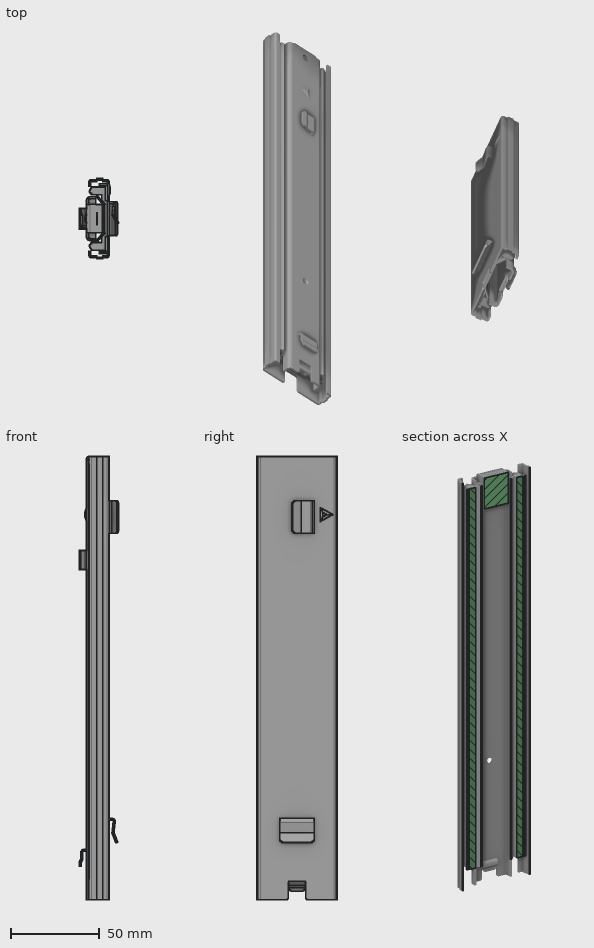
import cadquery as cq
import math

overall_depth = 22.21
overall_width = 45.46
overall_length = 250.0

outer_half_depth = 5.65
outer_half_width = 22.0
outer_sheet = 1.1
outer_bend = 1.4
outer_lip_end = 18.35
track_low_x = -1.3
track_high_x = 2.1
track_rise = overall_width / 2 - outer_half_width
outer_inner_x = outer_half_depth - outer_sheet

middle_bottom = 12.0
middle_top = 245.6
middle_half_width = 17.9
middle_tip_x = -5.6
middle_tip_y = 15.3
middle_shoulder_x = -4.1
middle_inner_y = 13.4
middle_leg_left = 1.5
middle_leg_right = 3.6
middle_leg_end = 8.2
middle_step_y = 10.2
middle_web_left = 3.3
relief_depth_y = 14.2
relief_length = 14.8
relief_bottom = middle_top - relief_length

inner_front_x = -7.1
inner_sheet = 1.2
inner_back_x = inner_front_x + inner_sheet
inner_half_width = 12.4
inner_bend = 2.4
inner_flange_end = -1.8
inner_top = 248.0
mount_hole_dia = 4.4
mount_hole_z = 242.7
countersink_dia = 4.4
countersink_hole_dia = 3.0
countersink_z = 72.5

notch_width = 9.8
notch_top = 10.6
notch_corner = 1.0
notch_mouth_chamfer = 0.8

tab_width = 9.4
tab_setback = 2.6
tab_return = 1.0
tab_return_start = 0.5
tab_return_end = 0.7
tab_end = 4.8

strip_left = 0.2
strip_inner_y = 18.4
strip_outer_y = 19.7

cage_thickness = 0.8
cage_web_y = 8.0
cage_tip_x = -0.9
cage_tip_y = 12.9

stop_left = inner_back_x
stop_right = 2.1
stop_half_width = 8.0
stop_shoulder_right = inner_flange_end
stop_shoulder_y = inner_half_width - inner_sheet
stop_bottom = relief_bottom
stop_front_round = 1.8
stop_slit_x = -1.2
stop_slit_length = 6.8
stop_slit_width = 0.3
stop_slit_depth = 1.0

hook_sheet = 1.1
hook_bend = 2.0
hook_reach = overall_depth / 2
front_hook_width = 11.7
front_hook_length = 9.6
front_hook_height = hook_reach + inner_front_x
front_hook_flare = 0.9
front_hook_rise = front_hook_height - front_hook_flare
front_flare_start = 0.58
front_flare_end = 0.75
front_side_hook_width = 10.8
front_side_hook_z = 191.6
front_side_hook_length = 11.0
front_side_hook_y = -5.1
front_low_hook_z = 28.6
rear_hook_width = 19.2
rear_hook_rise = 3.7
rear_hook_dip = 0.9
rear_dip_place = 0.6
rear_low_hook_flare = 4.9
rear_side_hook_width = 18.4
rear_side_hook_z = 215.8
rear_side_hook_length = 11.9
rear_side_hook_y = 9.6
rear_low_hook_z = 46.0
rear_low_hook_length = 13.5
hook_corner = 1.4

arrow_length = 7.2
arrow_width = 7.9
arrow_height = 0.8
arrow_taper = 64
arrow_z = 217.2
front_arrow_y = 0.7
rear_arrow_y = 16.6


def box(x_range, y_range, z_range):
    """Block given by its low and high limit on each axis."""
    limits = (x_range, y_range, z_range)
    sizes = [high - low for low, high in limits]
    corner = tuple(low for low, high in limits)
    return cq.Workplane("XY").box(*sizes, centered=False).translate(corner)


def symmetric_section(half_outline, bottom, top):
    """Extrude an outline that is mirrored about Y = 0, given the corners on its +Y side."""
    lower_half = [(x, -y) for x, y in reversed(half_outline)]
    outline = half_outline + lower_half
    return cq.Workplane("XY").workplane(offset=bottom).polyline(outline).close().extrude(top - bottom)


def sheet_outline(path, thickness):
    """Outline of a bent sheet: the path, and its parallel to the right with mitred corners."""
    directions = []
    for (x1, y1), (x2, y2) in zip(path, path[1:]):
        length = math.hypot(x2 - x1, y2 - y1)
        directions.append(((x2 - x1) / length, (y2 - y1) / length))
    before = [directions[0]] + directions
    after = directions + [directions[-1]]
    parallel = []
    for (x, y), (ax, ay), (bx, by) in zip(path, before, after):
        miter = thickness / (1 + ax * bx + ay * by)
        parallel.append((x + miter * (ay + by), y - miter * (ax + bx)))
    return path + parallel[::-1]


def hook(path, width, root_x):
    """Bent strip whose path leaves the web at root_x and then runs along -Z."""
    outward = math.copysign(1, path[1][0] - path[0][0])
    outline = sheet_outline(path, outward * hook_sheet)
    bent = cq.Workplane("XZ").polyline(outline).close().extrude(width / 2, both=True)
    bend_x, bend_z = path[1]
    bend_edge = cq.selectors.NearestToPointSelector((bend_x, 0, bend_z))
    bent = bent.edges("|Y").edges(bend_edge).fillet(hook_bend)
    tip_corners = bent.faces("<Z").edges("#Y").edges("<Y or >Y")
    bent = tip_corners.chamfer(hook_corner)
    return bent.translate((root_x, 0, 0))


def front_hook(length):
    """Plain hook: out, down, then flared out at its tip."""
    return [
        (0, 0),
        (-front_hook_rise, 0),
        (-front_hook_rise, -front_flare_start * length),
        (-front_hook_height, -front_flare_end * length),
        (-front_hook_height, -length),
    ]


def rear_hook(length, flare):
    """Hook that dips toward the web before its tip flares out to the given height."""
    return [
        (0, 0),
        (rear_hook_rise, 0),
        (rear_hook_rise - rear_hook_dip, -rear_dip_place * length),
        (flare, -length),
    ]


def turned_sideways(part, start_y, z, turn):
    """Turn a hook about X so that it runs along Y, starting at start_y."""
    return part.rotate((0, 0, 0), (1, 0, 0), turn).translate((0, start_y, z))


def arrow(face_x, outward, center_y):
    """Raised arrow mark pointing to +Y on the face at face_x."""
    back_y = center_y - arrow_length / 2
    corners = [
        (back_y, arrow_z - arrow_width / 2),
        (center_y + arrow_length / 2, arrow_z),
        (back_y, arrow_z + arrow_width / 2),
    ]
    mark = cq.Workplane("YZ").polyline(corners).close().extrude(arrow_height, taper=arrow_taper)
    if outward < 0:
        mark = mark.mirror("YZ")
    return mark.translate((face_x, 0, 0))


def end_notch(x_range):
    """Cutter for a notch in the lower end, with rounded top corners and a chamfered mouth."""
    half = notch_width / 2
    slot = box(x_range, (-half, half), (0, notch_top)).edges("|X and >Z").fillet(notch_corner)
    mouth = [
        (-half - notch_mouth_chamfer, 0),
        (-half, notch_mouth_chamfer),
        (half, notch_mouth_chamfer),
        (half + notch_mouth_chamfer, 0),
    ]
    wedge = cq.Workplane("YZ").polyline(mouth).close().extrude(x_range[1] - x_range[0])
    return slot.union(wedge.translate((x_range[0], 0, 0)))


def track_profile(half_depth, half_width):
    """Full-length bar with a raised band along both long sides for the ball track."""
    bar = box((-half_depth, half_depth), (-half_width, half_width), (0, overall_length))
    crest_y = half_width + track_rise
    return bar.union(box((track_low_x, track_high_x), (-crest_y, crest_y), (0, overall_length)))


def make_outer_rail():
    outside = track_profile(outer_half_depth, outer_half_width)
    hollow = track_profile(outer_inner_x, outer_half_width - outer_sheet)
    mouth = box((-outer_half_depth, -outer_inner_x), (-outer_lip_end, outer_lip_end), (0, overall_length))
    rail = outside.cut(hollow).cut(mouth)
    for y in (-outer_half_width, outer_half_width):
        for x in (-outer_half_depth, outer_half_depth):
            corner = cq.selectors.NearestToPointSelector((x, y, overall_length / 2))
            rail = rail.edges("|Z").edges(corner).fillet(outer_bend)

    web = (outer_inner_x, outer_half_depth)
    rail = rail.cut(end_notch(web))

    low_hook = hook(rear_hook(rear_low_hook_length, rear_low_hook_flare), rear_hook_width, outer_half_depth)
    side_path = rear_hook(rear_side_hook_length, hook_reach - outer_half_depth)
    side_hook = hook(side_path, rear_side_hook_width, outer_half_depth)
    rail = rail.union(low_hook.translate((0, 0, rear_low_hook_z)))
    rail = rail.union(turned_sideways(side_hook, rear_side_hook_y, rear_side_hook_z, -90))
    return rail.union(arrow(outer_half_depth, 1, rear_arrow_y))


def make_middle_rail():
    half_outline = [
        (outer_inner_x, middle_step_y),
        (middle_leg_right, middle_step_y),
        (middle_leg_right, middle_half_width),
        (middle_shoulder_x, middle_half_width),
        (middle_tip_x, middle_tip_y),
        (middle_shoulder_x, middle_inner_y),
        (middle_leg_left, middle_inner_y),
        (middle_leg_left, middle_leg_end + middle_leg_right - middle_leg_left),
        (middle_web_left, middle_leg_end),
    ]
    rail = symmetric_section(half_outline, middle_bottom, middle_top)
    for low_y, high_y in ((middle_inner_y, relief_depth_y), (-relief_depth_y, -middle_inner_y)):
        relief = box((middle_tip_x, middle_shoulder_x), (low_y, high_y), (relief_bottom, middle_top))
        rail = rail.cut(relief)
    return rail


def make_inner_rail():
    half_outline = [
        (inner_front_x, inner_half_width),
        (inner_flange_end, inner_half_width),
        (inner_flange_end, inner_half_width - inner_sheet),
        (inner_back_x, inner_half_width - inner_sheet),
    ]
    rail = symmetric_section(half_outline, 0, inner_top)
    rail = rail.edges("|Z and <X").fillet(inner_bend)
    for y in (-1, 1):
        corner = (inner_back_x, y * (inner_half_width - inner_sheet), inner_top / 2)
        bend_edge = cq.selectors.NearestToPointSelector(corner)
        rail = rail.edges("|Z").edges(bend_edge).fillet(inner_bend - inner_sheet)

    web = (inner_front_x, inner_back_x)
    rail = rail.cut(end_notch(web))
    hole = cq.Workplane("YZ", origin=(inner_front_x, 0, mount_hole_z)).circle(mount_hole_dia / 2)
    rail = rail.cut(hole.extrude(inner_sheet))
    sink = cq.Workplane("YZ", origin=(inner_front_x, 0, countersink_z)).circle(countersink_dia / 2)
    sink = sink.workplane(offset=inner_sheet).circle(countersink_hole_dia / 2).loft()
    rail = rail.cut(sink)

    tab_top = notch_top + hook_sheet
    tab_length = tab_top - tab_end
    tab_path = [
        (0, 0),
        (tab_setback, 0),
        (tab_setback, -tab_return_start * tab_length),
        (tab_setback - tab_return, -tab_return_end * tab_length),
        (tab_setback - tab_return, -tab_length),
    ]
    rail = rail.union(hook(tab_path, tab_width, inner_front_x).translate((0, 0, tab_top)))

    low_hook = hook(front_hook(front_hook_length), front_hook_width, inner_front_x)
    side_hook = hook(front_hook(front_side_hook_length), front_side_hook_width, inner_front_x)
    rail = rail.union(low_hook.translate((0, 0, front_low_hook_z)))
    rail = rail.union(turned_sideways(side_hook, front_side_hook_y, front_side_hook_z, 90))
    return rail.union(arrow(inner_front_x, -1, front_arrow_y))


def make_ball_strip(side):
    low_y, high_y = sorted((side * strip_inner_y, side * strip_outer_y))
    return box((strip_left, outer_inner_x), (low_y, high_y), (middle_bottom, middle_top))


def make_inner_cage():
    path = [
        (cage_tip_x, cage_tip_y),
        (middle_web_left, cage_web_y),
        (middle_web_left, -cage_web_y),
        (cage_tip_x, -cage_tip_y),
    ]
    outline = sheet_outline(path, cage_thickness)
    cage = cq.Workplane("XY").workplane(offset=middle_bottom).polyline(outline).close()
    return cage.extrude(middle_top - middle_bottom)


def make_end_stop():
    block = box((stop_left, stop_right), (-stop_half_width, stop_half_width), (stop_bottom, overall_length))
    lip = box((inner_front_x, stop_left), (-stop_half_width, stop_half_width), (inner_top, overall_length))
    block = block.union(lip)
    block = block.faces("<X").edges(">Z").fillet(stop_front_round)
    shoulder_y = (-stop_shoulder_y, stop_shoulder_y)
    shoulders = box((stop_left, stop_shoulder_right), shoulder_y, (stop_bottom, middle_top))
    shoulder_corners = shoulders.edges("|Z and <X")
    block = block.union(shoulder_corners.fillet(inner_bend - inner_sheet))
    slit = cq.Workplane("XY").box(stop_slit_width, stop_slit_length, 2 * stop_slit_depth)
    return block.cut(slit.translate((stop_slit_x, 0, overall_length)))


outer_rail = make_outer_rail()
middle_rail = make_middle_rail()
inner_rail = make_inner_rail()
ball_strips = [make_ball_strip(side) for side in (-1, 1)]
inner_cage = make_inner_cage()
end_stop = make_end_stop()

result = cq.Compound.makeCompound([
    outer_rail.val(),
    middle_rail.val(),
    inner_rail.val(),
    *[strip.val() for strip in ball_strips],
    inner_cage.val(),
    end_stop.val(),
])